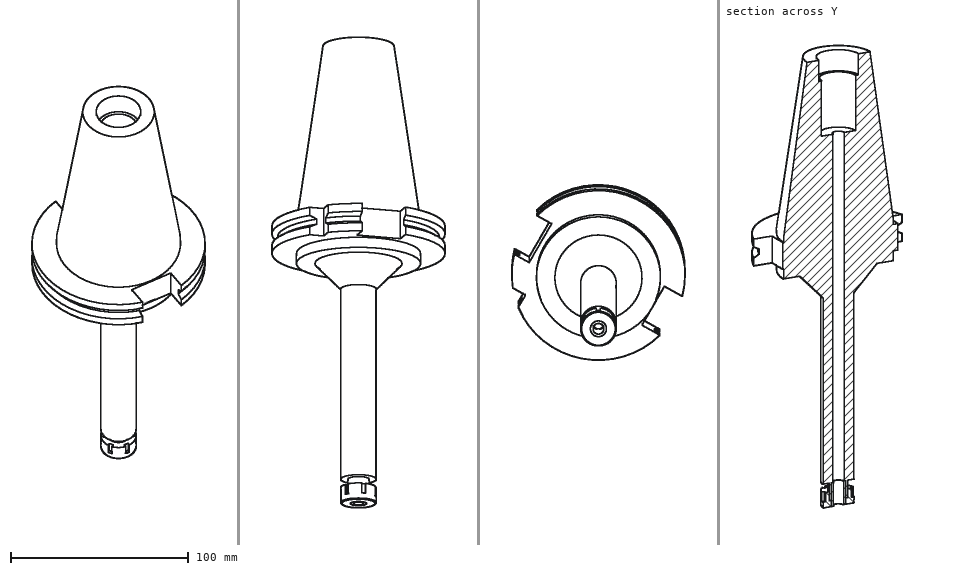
import cadquery as cq
import math


OVERALL_LENGTH = 266.8

GAUGE_DIAMETER = 70.0
TAPER_TOP_DIAMETER = 40.3
TAPER_LENGTH = 101.5

FLANGE_DIAMETER = 97.5
FLANGE_TOP = -3.2
FLANGE_BOTTOM = -19.2
GROOVE_CENTRE = -11.2
GROOVE_DEPTH = 3.2
GROOVE_FLOOR_WIDTH = 3.0
GROOVE_FLANK_ANGLE = 30

SLOT_WIDTH = 25.5
LEFT_SLOT_FLOOR = 37.5
RIGHT_SLOT_FLOOR = 35.5
NOTCH_OFFSET = 30.1

COLLAR_BOTTOM = -25.0
CONE_TOP_DIAMETER = 49.0
CONE_BOTTOM = -40
SHAFT_DIAMETER = 20.0
SHAFT_BOTTOM = -151.0
NECK_DIAMETER = 12.0

DRAWBAR_RECESS_DIAMETER = 25.0
DRAWBAR_RECESS_DEPTH = 12.5
DRAWBAR_HOLE_DIAMETER = 21.3
DRAWBAR_HOLE_DEPTH = 45.3
COOLANT_HOLE_DIAMETER = 7.0

NUT_DIAMETER = SHAFT_DIAMETER
NUT_TOP = -155.8
NUT_BOTTOM = TAPER_LENGTH - OVERALL_LENGTH
NUT_CHAMFER = 0.5
NUT_SLOT_COUNT = 6
NUT_SLOT_WIDTH = 2.5
NUT_SLOT_DEPTH = 1.5
NUT_SLOT_BOTTOM = -161.5
NECK_BOTTOM = NUT_SLOT_BOTTOM

COLLET_DIAMETER = 9.0
COLLET_TOP = SHAFT_BOTTOM
COLLET_BORE_DIAMETER = 6.1


def cylinder(diameter, bottom, top):
    return cq.Workplane("XY").workplane(offset=bottom).circle(diameter / 2).extrude(top - bottom)


def block(x_min, x_max, y_min, y_max, bottom, top):
    size = (x_max - x_min, y_max - y_min, top - bottom)
    return cq.Workplane("XY").box(*size, centered=False).translate((x_min, y_min, bottom))


def holder_blank():
    flange_radius = FLANGE_DIAMETER / 2
    groove_radius = flange_radius - GROOVE_DEPTH
    floor_half = GROOVE_FLOOR_WIDTH / 2
    mouth_half = floor_half + GROOVE_DEPTH * math.tan(math.radians(GROOVE_FLANK_ANGLE))
    collar_radius = GAUGE_DIAMETER / 2
    profile = [
        (0, TAPER_LENGTH),
        (TAPER_TOP_DIAMETER / 2, TAPER_LENGTH),
        (collar_radius, 0),
        (collar_radius, FLANGE_TOP),
        (flange_radius, FLANGE_TOP),
        (flange_radius, GROOVE_CENTRE + mouth_half),
        (groove_radius, GROOVE_CENTRE + floor_half),
        (groove_radius, GROOVE_CENTRE - floor_half),
        (flange_radius, GROOVE_CENTRE - mouth_half),
        (flange_radius, FLANGE_BOTTOM),
        (collar_radius, FLANGE_BOTTOM),
        (collar_radius, COLLAR_BOTTOM),
        (CONE_TOP_DIAMETER / 2, COLLAR_BOTTOM),
        (SHAFT_DIAMETER / 2, CONE_BOTTOM),
        (SHAFT_DIAMETER / 2, SHAFT_BOTTOM),
        (NECK_DIAMETER / 2, SHAFT_BOTTOM),
        (NECK_DIAMETER / 2, NECK_BOTTOM),
        (0, NECK_BOTTOM),
    ]
    return cq.Workplane("XZ").polyline(profile).close().revolve(360, (0, 0, 0), (0, 1, 0))


def flange_cuts():
    reach = FLANGE_DIAMETER
    half_width = SLOT_WIDTH / 2
    left_slot = block(-reach, -LEFT_SLOT_FLOOR, -half_width, half_width, FLANGE_BOTTOM, FLANGE_TOP)
    right_slot = block(RIGHT_SLOT_FLOOR, reach, -half_width, half_width, FLANGE_BOTTOM, FLANGE_TOP)
    notch = block(-reach, -NOTCH_OFFSET, NOTCH_OFFSET, reach, FLANGE_BOTTOM, FLANGE_TOP)
    return [left_slot, right_slot, notch]


def holder_bores():
    recess_floor = TAPER_LENGTH - DRAWBAR_RECESS_DEPTH
    hole_floor = TAPER_LENGTH - DRAWBAR_HOLE_DEPTH
    return [
        cylinder(DRAWBAR_RECESS_DIAMETER, recess_floor, TAPER_LENGTH),
        cylinder(DRAWBAR_HOLE_DIAMETER, hole_floor, TAPER_LENGTH),
        cylinder(COOLANT_HOLE_DIAMETER, NECK_BOTTOM, TAPER_LENGTH),
        cylinder(COLLET_DIAMETER, NECK_BOTTOM, COLLET_TOP),
    ]


def make_holder():
    body = holder_blank()
    for cut in flange_cuts() + holder_bores():
        body = body.cut(cut)
    return body


def make_nut():
    body = cylinder(NUT_DIAMETER, NUT_BOTTOM, NUT_TOP).faces("<Z").chamfer(NUT_CHAMFER)
    body = body.cut(cylinder(NECK_DIAMETER, NECK_BOTTOM, NUT_TOP))
    body = body.cut(cylinder(COLLET_DIAMETER, NUT_BOTTOM, NUT_TOP))
    slot_floor = NUT_DIAMETER / 2 - NUT_SLOT_DEPTH
    half_width = NUT_SLOT_WIDTH / 2
    slot = block(slot_floor, NUT_DIAMETER, -half_width, half_width, NUT_SLOT_BOTTOM, NUT_TOP)
    for index in range(NUT_SLOT_COUNT):
        angle = index * 360 / NUT_SLOT_COUNT
        body = body.cut(slot.rotate((0, 0, 0), (0, 0, 1), angle))
    return body


def make_collet():
    return cylinder(COLLET_DIAMETER, NUT_BOTTOM, COLLET_TOP).cut(
        cylinder(COLLET_BORE_DIAMETER, NUT_BOTTOM, COLLET_TOP)
    )


holder = make_holder()
nut = make_nut()
collet = make_collet()

result = cq.Compound.makeCompound([holder.val(), nut.val(), collet.val()])